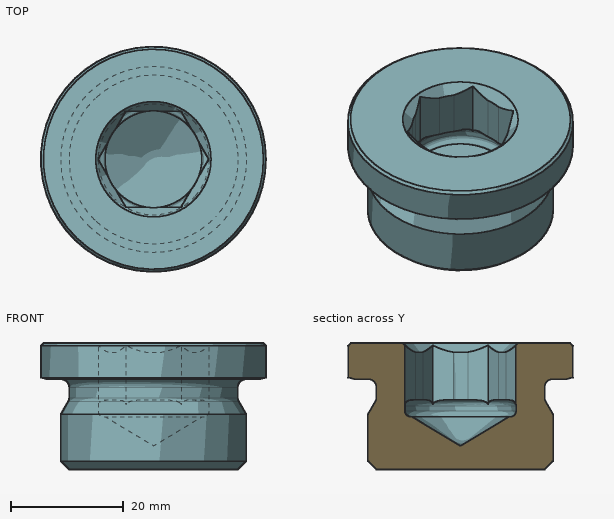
import cadquery as cq
import math

height = 22.5
flange_radius = 20.0
flange_thickness = 6.5
flange_top_chamfer = 0.5
flange_relief_width = 1.2
flange_relief_height = 0.3
body_radius = 33.0 / 2
neck_radius = 15.0
nose_chamfer = body_radius - neck_radius
shoulder_depth = 12.7
shoulder_angle = 30.0
neck_fillet = 1.35

hex_across_flats = 17.0
hex_corner_diameter = hex_across_flats / math.cos(math.radians(30))
mouth_radius = 10.25
bore_radius = 8.6
socket_depth = 10.1
chamber_radius = 19.7 / 2
chamber_height = 2.95
chamber_fillet = 1.0
drill_tip_angle = 118.0


def turned_body():
    flange_bottom = height - flange_thickness
    body_top = height - shoulder_depth
    cone_height = (body_radius - neck_radius) / math.tan(math.radians(shoulder_angle))
    cone_top = body_top + cone_height

    blend = neck_fillet * math.tan(math.radians(shoulder_angle / 2))
    blend_end_radius = neck_radius + blend * math.sin(math.radians(shoulder_angle))
    blend_end_z = cone_top - blend * math.cos(math.radians(shoulder_angle))
    blend_center = (neck_radius + neck_fillet, cone_top + blend)
    half_angle = math.radians(shoulder_angle / 2)
    blend_middle = (
        blend_center[0] - neck_fillet * math.cos(half_angle),
        blend_center[1] - neck_fillet * math.sin(half_angle),
    )
    fillet_middle = (
        neck_radius + neck_fillet * (1 - math.sqrt(0.5)),
        flange_bottom - neck_fillet * (1 - math.sqrt(0.5)),
    )
    return (
        cq.Workplane("XZ")
        .moveTo(0, 0)
        .lineTo(body_radius - nose_chamfer, 0)
        .lineTo(body_radius, nose_chamfer)
        .lineTo(body_radius, body_top)
        .lineTo(blend_end_radius, blend_end_z)
        .threePointArc(blend_middle, (neck_radius, cone_top + blend))
        .lineTo(neck_radius, flange_bottom - neck_fillet)
        .threePointArc(fillet_middle, (neck_radius + neck_fillet, flange_bottom))
        .lineTo(flange_radius - flange_relief_width, flange_bottom)
        .lineTo(flange_radius, flange_bottom + flange_relief_height)
        .lineTo(flange_radius, height - flange_top_chamfer)
        .lineTo(flange_radius - flange_top_chamfer, height)
        .lineTo(0, height)
        .close()
        .revolve(360, (0, 0), (0, 1))
    )


def hexagon_cutter():
    """Hexagon whose corners run on through the rounded chamber ceiling."""
    depth = socket_depth + chamber_fillet
    return (
        cq.Workplane("XY", origin=(0, 0, height))
        .polygon(6, hex_corner_diameter)
        .extrude(-depth)
    )


def bore_cutter():
    """Countersunk bore opening into the relief chamber, ending in a drill tip."""
    chamber_ceiling = height - socket_depth
    chamber_floor = chamber_ceiling - chamber_height
    tip_height = bore_radius / math.tan(math.radians(drill_tip_angle / 2))
    mouth_depth = mouth_radius - bore_radius
    fillet_inset = chamber_fillet * (1 - math.sqrt(0.5))
    fillet_inner_radius = chamber_radius - chamber_fillet
    fillet_middle_radius = chamber_radius - fillet_inset
    return (
        cq.Workplane("XZ")
        .moveTo(0, chamber_floor - tip_height)
        .lineTo(bore_radius, chamber_floor)
        .lineTo(fillet_inner_radius, chamber_floor)
        .threePointArc(
            (fillet_middle_radius, chamber_floor + fillet_inset),
            (chamber_radius, chamber_floor + chamber_fillet),
        )
        .lineTo(chamber_radius, chamber_ceiling - chamber_fillet)
        .threePointArc(
            (fillet_middle_radius, chamber_ceiling - fillet_inset),
            (fillet_inner_radius, chamber_ceiling),
        )
        .lineTo(bore_radius, chamber_ceiling)
        .lineTo(bore_radius, height - mouth_depth)
        .lineTo(mouth_radius, height)
        .lineTo(0, height)
        .close()
        .revolve(360, (0, 0), (0, 1))
    )


result = turned_body().cut(hexagon_cutter()).cut(bore_cutter())